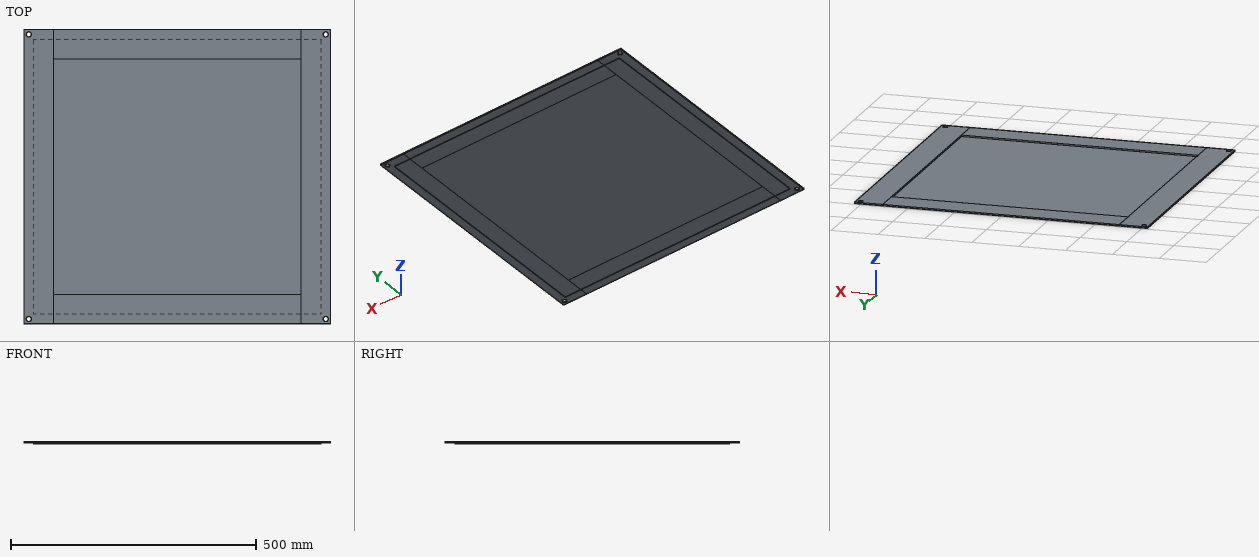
import cadquery as cq

frame_length_x = 625.0
frame_length_y = 600.0
total_thickness = 4.8

strip_width = 60.0
sheet_thickness = 1.6
strip_thickness = total_thickness - sheet_thickness

sheet_margin = 20.0

hole_diameter = 10.0
hole_inset = 10.0

sheet_length_x = frame_length_x - 2 * sheet_margin
sheet_length_y = frame_length_y - 2 * sheet_margin
cross_strip_length = frame_length_x - 2 * strip_width
side_strip_offset = (frame_length_x - strip_width) / 2
cross_strip_offset = (frame_length_y - strip_width) / 2
hole_offset_x = frame_length_x / 2 - hole_inset
hole_offset_y = frame_length_y / 2 - hole_inset

SIDES = (-1, 1)


def make_plate(length_x, length_y, thickness, center_x, center_y, bottom_z):
    """Flat rectangular plate standing on bottom_z."""
    return (
        cq.Workplane("XY")
        .box(length_x, length_y, thickness, centered=(True, True, False))
        .translate((center_x, center_y, bottom_z))
    )


def make_base_sheet():
    """Thin sheet that carries the four strips."""
    return make_plate(sheet_length_x, sheet_length_y, sheet_thickness, 0, 0, 0)


def make_side_strip(side):
    """Full-length strip along Y at the -X (side = -1) or +X (side = 1) edge, with a hole at each end."""
    strip = make_plate(
        strip_width, frame_length_y, strip_thickness, side * side_strip_offset, 0, sheet_thickness
    )
    holes = (
        cq.Workplane("XY")
        .workplane(offset=sheet_thickness)
        .pushPoints([(side * hole_offset_x, end * hole_offset_y) for end in SIDES])
        .circle(hole_diameter / 2)
        .extrude(strip_thickness)
    )
    return strip.cut(holes).solids()


def make_cross_strip(side):
    """Strip along X between the side strips, at the -Y (side = -1) or +Y (side = 1) edge."""
    return make_plate(
        cross_strip_length, strip_width, strip_thickness, 0, side * cross_strip_offset, sheet_thickness
    )


base_sheet = make_base_sheet()
side_strips = [make_side_strip(side) for side in SIDES]
cross_strips = [make_cross_strip(side) for side in SIDES]

result = cq.Compound.makeCompound(
    [base_sheet.val()]
    + [strip.val() for strip in side_strips]
    + [strip.val() for strip in cross_strips]
)